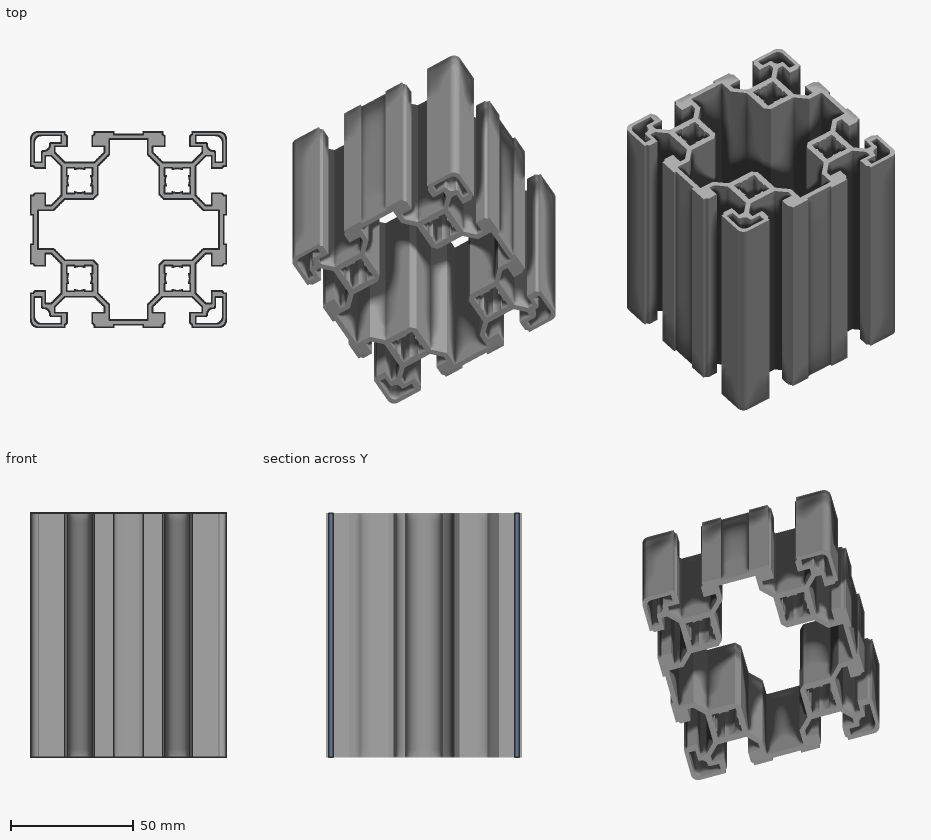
import cadquery as cq
import math

SIDE = 80.0
LENGTH = 100.0
HALF = SIDE / 2
CORNER_RADIUS = 3.0

SLOT_OFFSET = SIDE / 4
MOUTH_WIDTH = 12.0
MOUTH_DEPTH = 1.0
MOUTH_BEVEL = 0.8
THROAT_WIDTH = 10.2
LIP_DEPTH = 6.0
CAVITY_WIDTH = 20.3

TUBE_SIDE = 15.0
TUBE_CHAMFER = 2.0
WEB_THICKNESS = 2.0
BORE_SIDE = 10.4
RIB_WIDTH = 4.0
RIB_CIRCLE_DIAMETER = 10.0

CHAMBER_ARM_WIDTH = 15.7
FACE_WALL = 3.0
GROOVE_WIDTH = 12.0
GROOVE_DEPTH = 1.0

POCKET_WALL = 1.5
POCKET_ARM_END = 12.4
POCKET_ARM_DEPTH = 4.5
POCKET_KNEE = 7.8
POCKET_KNEE_RADIUS = 2.4
POCKET_BEND_RADIUS = 0.7
POCKET_OUTER_RADIUS = 2.7

QUARTER_TURNS = (0, 90, 180, 270)

web_offset = WEB_THICKNESS / math.sqrt(2)


def four_around(body):
    """Copies of a body, turned about the Z axis by each quarter turn."""
    return [body.rotate((0, 0, 0), (0, 0, 1), angle) for angle in QUARTER_TURNS]


def prism(points):
    return cq.Workplane("XY").polyline(points).close().extrude(LENGTH)


def centred_box(width, depth):
    return cq.Workplane("XY").rect(width, depth).extrude(LENGTH)


def t_slot():
    """T-slot with a bevelled mouth, open to the +Y face, centred on X = 0."""
    mouth = MOUTH_WIDTH / 2
    throat = THROAT_WIDTH / 2
    cavity = CAVITY_WIDTH / 2
    tube_half = TUBE_SIDE / 2
    tube_top = SLOT_OFFSET + tube_half
    cavity_side_end = SLOT_OFFSET + cavity + web_offset
    right = [
        (mouth, HALF),
        (mouth, HALF - MOUTH_DEPTH),
        (throat, HALF - MOUTH_DEPTH - MOUTH_BEVEL),
        (throat, HALF - LIP_DEPTH),
        (cavity, HALF - LIP_DEPTH),
        (cavity, cavity_side_end),
        (tube_half - web_offset, tube_top),
    ]
    left = [(-x, y) for x, y in reversed(right)]
    return prism(right + left)


def chamber():
    """Cross-shaped chamber bounded by the tubes, the webs and the face walls."""
    arm = CHAMBER_ARM_WIDTH / 2
    arm_end = HALF - FACE_WALL
    tube_face = SLOT_OFFSET - TUBE_SIDE / 2
    web_at_arm = HALF - arm - web_offset
    web_at_tube = HALF - tube_face - web_offset
    octant = [
        (arm, arm_end),
        (arm, web_at_arm),
        (tube_face, web_at_tube),
        (tube_face, tube_face + TUBE_CHAMFER),
    ]
    quarter = octant + [(y, x) for x, y in reversed(octant)]
    mirrored = [(x, -y) for x, y in reversed(quarter)]
    right = quarter + mirrored
    left = [(-x, y) for x, y in reversed(right)]
    return prism(right + left)


def tube_bore():
    """Square bore with a concave rib in the middle of each wall."""
    ribs = centred_box(RIB_WIDTH, BORE_SIDE).union(centred_box(BORE_SIDE, RIB_WIDTH))
    ribs = ribs.cut(cq.Workplane("XY").circle(RIB_CIRCLE_DIAMETER / 2).extrude(LENGTH))
    return centred_box(BORE_SIDE, BORE_SIDE).cut(ribs).translate((SLOT_OFFSET, SLOT_OFFSET, 0))


def corner_pocket():
    """L-shaped pocket with a rounded knee, in the +X +Y corner."""
    def block(end_x, end_y):
        size_x = end_x - POCKET_WALL
        size_y = end_y - POCKET_WALL
        corner = HALF - POCKET_WALL
        box = cq.Workplane("XY").box(size_x, size_y, LENGTH, centered=False)
        return box.translate((corner - size_x, corner - size_y, 0))

    knee = block(POCKET_KNEE, POCKET_KNEE)
    knee = knee.edges("|Z").edges("<(1, 1, 0)").fillet(POCKET_KNEE_RADIUS)
    pocket = knee.union(block(POCKET_ARM_END, POCKET_ARM_DEPTH))
    pocket = pocket.union(block(POCKET_ARM_DEPTH, POCKET_ARM_END))
    pocket = pocket.edges("|Z").edges(">(1, 1, 0)").fillet(POCKET_OUTER_RADIUS)
    for bend_x, bend_y in ((POCKET_KNEE, POCKET_ARM_DEPTH), (POCKET_ARM_DEPTH, POCKET_KNEE)):
        bend_point = (HALF - bend_x, HALF - bend_y, LENGTH / 2)
        pocket = pocket.edges(cq.selectors.NearestToPointSelector(bend_point)).fillet(POCKET_BEND_RADIUS)
    return pocket


def face_groove():
    """Shallow groove in the middle of the +Y face."""
    return centred_box(GROOVE_WIDTH, 2 * GROOVE_DEPTH).translate((0, HALF, 0))


result = centred_box(SIDE, SIDE).edges("|Z").fillet(CORNER_RADIUS)
result = result.cut(chamber())

repeated_cuts = [
    t_slot().translate((-SLOT_OFFSET, 0, 0)),
    t_slot().translate((SLOT_OFFSET, 0, 0)),
    face_groove(),
    tube_bore(),
    corner_pocket(),
]
for cutter in repeated_cuts:
    for copy in four_around(cutter):
        result = result.cut(copy)